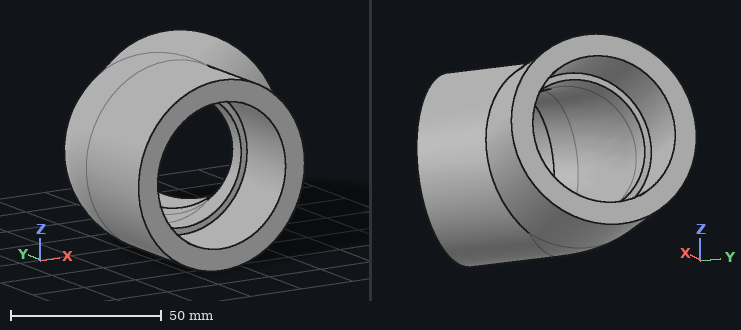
import cadquery as cq
import math

bend_angle = 45
outer_diameter = 65.0
bore_diameter = 45.4
socket_diameter = 50.0
pivot_offset = 15.05
socket_depth = 24.0
overall_length = 89.6

bend_radians = math.radians(bend_angle)
far_rim_radius = pivot_offset + outer_diameter / 2
leg_length = (overall_length - far_rim_radius * math.sin(bend_radians)) / (1 + math.cos(bend_radians))

inlet_y = -leg_length
pivot = (pivot_offset, 0, 0)
pivot_top = (pivot_offset, 0, 1)


def opposite(shape):
    """Copy a shape of the first leg onto the second leg."""
    return shape.mirror("XZ").rotate(pivot, pivot_top, -bend_angle)


def inlet_cylinder(diameter, length):
    """Cylinder on the first leg's axis, starting at its open end."""
    return (
        cq.Workplane("XZ", origin=(0, inlet_y, 0))
        .circle(diameter / 2)
        .extrude(-length)
    )


def bend(diameter):
    """Round section turned about the pivot, which lies inside the section."""
    radius = diameter / 2
    half_chord = math.sqrt(radius**2 - pivot_offset**2)
    return (
        cq.Workplane("XZ")
        .moveTo(pivot_offset, half_chord)
        .threePointArc((-radius, 0), (pivot_offset, -half_chord))
        .close()
        .revolve(bend_angle, (pivot_offset, 0.9, 0), (pivot_offset, 0, 0))
    )


def elbow(diameter):
    """Two straight legs joined by the bend."""
    leg = inlet_cylinder(diameter, leg_length)
    return leg.union(opposite(leg)).union(bend(diameter))


socket = inlet_cylinder(socket_diameter, socket_depth)

result = (
    elbow(outer_diameter)
    .cut(elbow(bore_diameter))
    .cut(socket)
    .cut(opposite(socket))
)